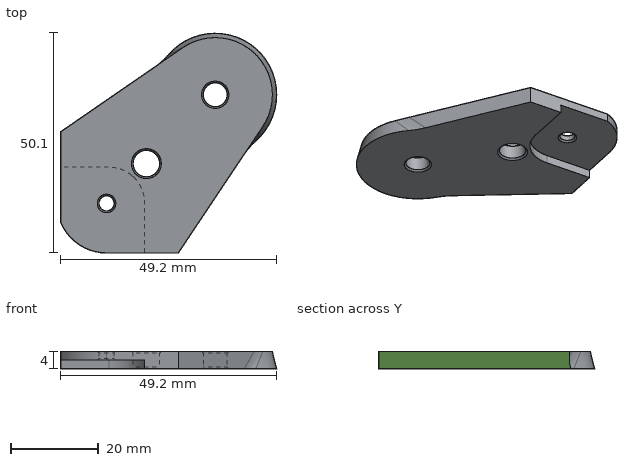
import cadquery as cq
import math

thickness = 4.0
left_x = -35.2
bottom_y = -36.05
flank_corner = -8.4
head_bottom_radius = 14.0
head_top_radius = 13.0

middle_hole_offset = -15.65
corner_hole_offset = -24.75
head_hole_diameter = 5.4
middle_hole_diameter = 6.0
corner_hole_diameter = 3.4
rim_chamfer = 0.4

corner_radius = corner_hole_offset - bottom_y
relief_depth = 2.0
relief_inner_x = -16.05
relief_inner_y = -16.45
relief_radius = 8.1

def tangent_angle(edge_position):
    corner_distance = math.hypot(edge_position, flank_corner)
    return math.atan2(-flank_corner, -edge_position) + math.asin(head_top_radius / corner_distance)


left_flank_angle = tangent_angle(left_x)
bottom_flank_angle = tangent_angle(bottom_y)

blend_radius = 15.0
blend_top_length = 3.55

cut_margin = 5.0


def flank_point(angle, along, outward):
    """Point beside a flank, measured back from its tangent point and out from the head centre."""
    return (
        -along * math.cos(angle) - outward * math.sin(angle),
        -along * math.sin(angle) + outward * math.cos(angle),
    )


def mirrored(point):
    """Reflect a point across the diagonal through the head and holes."""
    return (point[1], point[0])


def plate():
    left_corner = (left_x, flank_corner)
    bottom_corner = (flank_corner, bottom_y)
    left_tangent = flank_point(left_flank_angle, 0, head_top_radius)
    bottom_tangent = mirrored(flank_point(bottom_flank_angle, 0, head_top_radius))

    left_reach = corner_hole_offset - left_x
    arc_start = (left_x, corner_hole_offset - math.sqrt(corner_radius**2 - left_reach**2))
    start_angle = math.atan2(arc_start[1] - corner_hole_offset, -left_reach)
    middle_angle = (start_angle - math.pi / 2) / 2
    arc_middle = (
        corner_hole_offset + corner_radius * math.cos(middle_angle),
        corner_hole_offset + corner_radius * math.sin(middle_angle),
    )
    head_middle = head_top_radius / math.sqrt(2)
    return (
        cq.Workplane("XY")
        .moveTo(*left_corner)
        .lineTo(*arc_start)
        .threePointArc(arc_middle, (corner_hole_offset, bottom_y))
        .lineTo(*bottom_corner)
        .lineTo(*bottom_tangent)
        .threePointArc((head_middle, head_middle), left_tangent)
        .close()
        .extrude(thickness)
    )


def blend_points(angle):
    """Base end, middle and head tangent of a blend, then its end and tangent on the top face."""
    center_outward = head_top_radius + blend_radius
    center_distance = head_bottom_radius + blend_radius
    length = math.sqrt(center_distance**2 - center_outward**2)
    sweep = math.atan2(length, center_outward)
    middle_along = length - blend_radius * math.sin(sweep / 2)
    middle_outward = center_outward - blend_radius * math.cos(sweep / 2)
    tangent_along = head_bottom_radius * math.sin(sweep)
    tangent_outward = head_bottom_radius * math.cos(sweep)
    return [
        flank_point(angle, length, head_top_radius),
        flank_point(angle, middle_along, middle_outward),
        flank_point(angle, tangent_along, tangent_outward),
        flank_point(angle, blend_top_length, head_top_radius),
        flank_point(angle, 0, head_top_radius),
    ]


def tapered_head():
    """Ruled solid whose concave base blends fade into the straight flanks at the top."""
    left_end, left_middle, left_tangent, left_top_end, left_top_tangent = blend_points(left_flank_angle)
    bottom_end, bottom_middle, bottom_tangent, bottom_top_end, bottom_top_tangent = [
        mirrored(point) for point in blend_points(bottom_flank_angle)
    ]
    base_crown = head_bottom_radius / math.sqrt(2)
    top_crown = head_top_radius / math.sqrt(2)
    return (
        cq.Workplane("XY")
        .moveTo(*left_end)
        .threePointArc(left_middle, left_tangent)
        .threePointArc((base_crown, base_crown), bottom_tangent)
        .threePointArc(bottom_middle, bottom_end)
        .close()
        .workplane(offset=thickness)
        .moveTo(*left_top_end)
        .lineTo(*left_top_tangent)
        .threePointArc((top_crown, top_crown), bottom_top_tangent)
        .lineTo(*bottom_top_end)
        .close()
        .loft(ruled=True)
    )


def corner_relief():
    """Round-cornered pocket in the underside, open at the left and bottom edges."""
    width = relief_inner_x - left_x + cut_margin
    length = relief_inner_y - bottom_y + cut_margin
    return (
        cq.Workplane("XY")
        .box(width, length, relief_depth, centered=False)
        .translate((relief_inner_x - width, relief_inner_y - length, 0))
        .edges("|Z and >X and >Y")
        .fillet(relief_radius)
    )


def chamfered_hole(offset, diameter, floor):
    radius = diameter / 2
    return (
        cq.Workplane("XZ")
        .polyline([
            (0, floor),
            (radius + rim_chamfer, floor),
            (radius, floor + rim_chamfer),
            (radius, thickness - rim_chamfer),
            (radius + rim_chamfer, thickness),
            (0, thickness),
        ])
        .close()
        .revolve(360, (0, 0), (0, 1))
        .translate((offset, offset, 0))
    )


result = plate().union(tapered_head()).cut(corner_relief())
for hole_offset, hole_diameter, hole_floor in [
    (0, head_hole_diameter, 0),
    (middle_hole_offset, middle_hole_diameter, 0),
    (corner_hole_offset, corner_hole_diameter, relief_depth),
]:
    result = result.cut(chamfered_hole(hole_offset, hole_diameter, hole_floor))